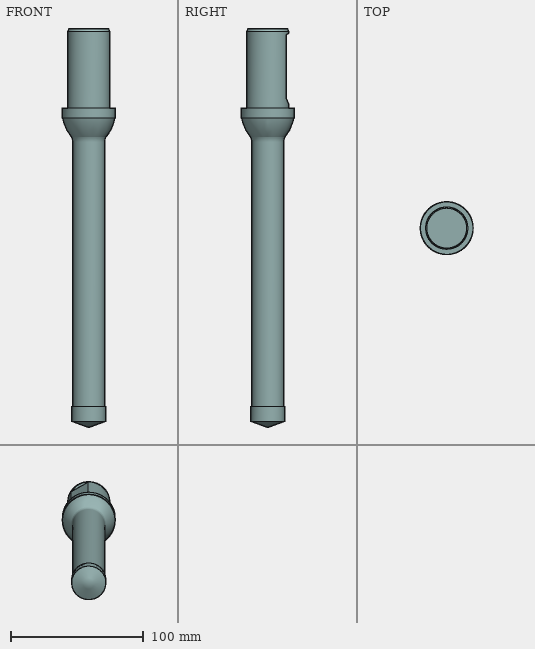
import cadquery as cq
import math

total_length = 301.0

tip_radius = 13.0
tip_top = 16.0
point_angle = 140.0
point_height = tip_radius / math.tan(math.radians(point_angle / 2))

stem_radius = 24.5 / 2
neck_start = 215.5
neck_end = 219.0
neck_end_radius = 13.0
flange_radius = 40.0 / 2
flange_bottom = 233.5
flange_top = 241.0
shoulder_bottom_radius = flange_radius - 0.3
shoulder_mid_radius = 18.0
shoulder_mid = 227.5
shank_radius = 32.0 / 2
shank_chamfer = 1.0
chamfer_height = 2.0

flat_depth = 1.8
flat_bottom = 248.0
flat_top = 297.7
ramp_run = 4.0
top_ramp_run = 1.2


def make_tip():
    """Round cutting head with a conical point."""
    return (
        cq.Workplane("XZ")
        .lineTo(tip_radius, point_height)
        .lineTo(tip_radius, tip_top)
        .lineTo(0, tip_top)
        .close()
        .revolve(360, (0, 0), (0, 1))
    )


def make_turned_holder():
    """Stem, flared shoulder, flange and chamfered shank in one revolved profile."""
    return (
        cq.Workplane("XZ")
        .moveTo(0, tip_top)
        .lineTo(stem_radius, tip_top)
        .lineTo(stem_radius, neck_start)
        .tangentArcPoint((neck_end_radius, neck_end), relative=False)
        .threePointArc((shoulder_mid_radius, shoulder_mid), (shoulder_bottom_radius, flange_bottom))
        .lineTo(flange_radius, flange_bottom)
        .lineTo(flange_radius, flange_top)
        .lineTo(shank_radius, flange_top)
        .lineTo(shank_radius, total_length - chamfer_height)
        .lineTo(shank_radius - shank_chamfer, total_length)
        .lineTo(0, total_length)
        .close()
        .revolve(360, (0, 0), (0, 1))
    )


def make_flat_cutter():
    """Trapezoidal bar that removes the clamping flat, sloped at both ends."""
    flat_y = shank_radius - flat_depth
    return (
        cq.Workplane("YZ")
        .moveTo(flat_y, flat_bottom)
        .lineTo(flat_y, flat_top - top_ramp_run)
        .lineTo(shank_radius, flat_top)
        .lineTo(shank_radius, flat_bottom - ramp_run)
        .close()
        .extrude(shank_radius, both=True)
    )


tip = make_tip()
holder = make_turned_holder().cut(make_flat_cutter())

result = cq.Compound.makeCompound([tip.val(), holder.val()])